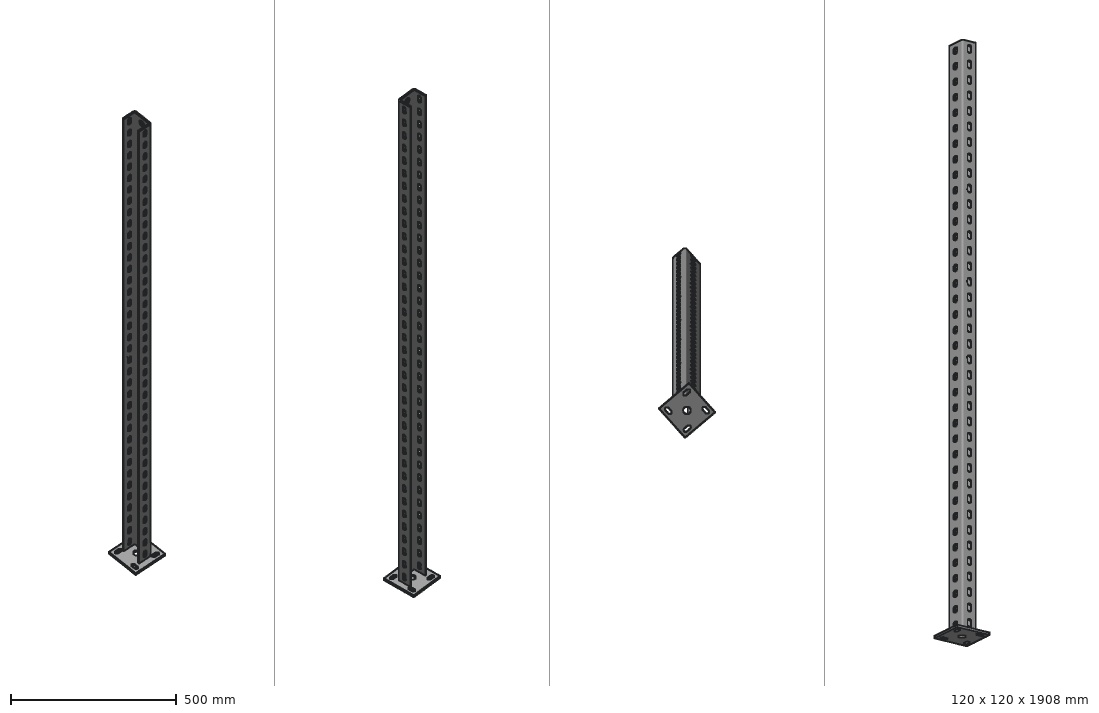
import cadquery as cq

PLATE_SIDE = 120.0
PLATE_THICKNESS = 8.0
CENTRE_HOLE_DIAMETER = 23.0
ANCHOR_SLOT_LENGTH = 25.0
ANCHOR_SLOT_WIDTH = 12.0
ANCHOR_SLOT_MARGIN = 11.0

TOTAL_HEIGHT = 1908.0
CHANNEL_HEIGHT = TOTAL_HEIGHT - PLATE_THICKNESS
CHANNEL_WIDTH = 75.0
CHANNEL_DEPTH = 50.0
WALL_THICKNESS = 6.0
INNER_BEND_RADIUS = 1.0
OUTER_BEND_RADIUS = INNER_BEND_RADIUS + WALL_THICKNESS

HOLE_PITCH = 50.0
HOLE_COUNT = int(CHANNEL_HEIGHT // HOLE_PITCH)
WEB_HOLE_DIAMETER = 21.7
FLANGE_SLOT_LENGTH = 26.0
FLANGE_SLOT_WIDTH = 13.0
FLANGE_SLOT_Y = -1.5


def base_plate():
    """Square plate with a central hole and four anchor slots in a pinwheel layout."""
    plate = cq.Workplane("XY").rect(PLATE_SIDE, PLATE_SIDE).extrude(PLATE_THICKNESS)
    centre_hole = cq.Workplane("XY").circle(CENTRE_HOLE_DIAMETER / 2).extrude(PLATE_THICKNESS)
    plate = plate.cut(centre_hole)

    slot_limit = PLATE_SIDE / 2 - ANCHOR_SLOT_MARGIN
    slot = (
        cq.Workplane("XY")
        .center(-slot_limit + ANCHOR_SLOT_LENGTH / 2, slot_limit - ANCHOR_SLOT_WIDTH / 2)
        .slot2D(ANCHOR_SLOT_LENGTH, ANCHOR_SLOT_WIDTH)
        .extrude(PLATE_THICKNESS)
    )
    for quarter_turn in range(4):
        plate = plate.cut(slot.rotate((0, 0, 0), (0, 0, 1), 90 * quarter_turn))
    return plate


def channel():
    """U-channel with rounded bends, standing on the plate."""
    outer = (
        cq.Workplane("XY", origin=(0, 0, PLATE_THICKNESS))
        .rect(CHANNEL_WIDTH, CHANNEL_DEPTH)
        .extrude(CHANNEL_HEIGHT)
        .edges("|Z and >Y")
        .fillet(OUTER_BEND_RADIUS)
    )
    cavity = (
        cq.Workplane("XY", origin=(0, -WALL_THICKNESS, PLATE_THICKNESS))
        .rect(CHANNEL_WIDTH - 2 * WALL_THICKNESS, CHANNEL_DEPTH)
        .extrude(CHANNEL_HEIGHT)
        .edges("|Z and >Y")
        .fillet(INNER_BEND_RADIUS)
    )
    return outer.cut(cavity)


def row_points():
    """Centres of one vertical perforation row, half a pitch in from the channel's foot."""
    first_height = PLATE_THICKNESS + HOLE_PITCH / 2
    return [(0, first_height + i * HOLE_PITCH) for i in range(HOLE_COUNT)]


def web_holes():
    """Round holes along the middle of the web."""
    return (
        cq.Workplane("XZ")
        .pushPoints(row_points())
        .circle(WEB_HOLE_DIAMETER / 2)
        .extrude(-CHANNEL_DEPTH)
    )


def flange_slots():
    """Upright slots passing through both flanges."""
    return (
        cq.Workplane("YZ", origin=(0, FLANGE_SLOT_Y, 0))
        .pushPoints(row_points())
        .slot2D(FLANGE_SLOT_LENGTH, FLANGE_SLOT_WIDTH, 90)
        .extrude(CHANNEL_WIDTH, both=True)
    )


upright = channel().cut(web_holes()).cut(flange_slots())
result = base_plate().union(upright)